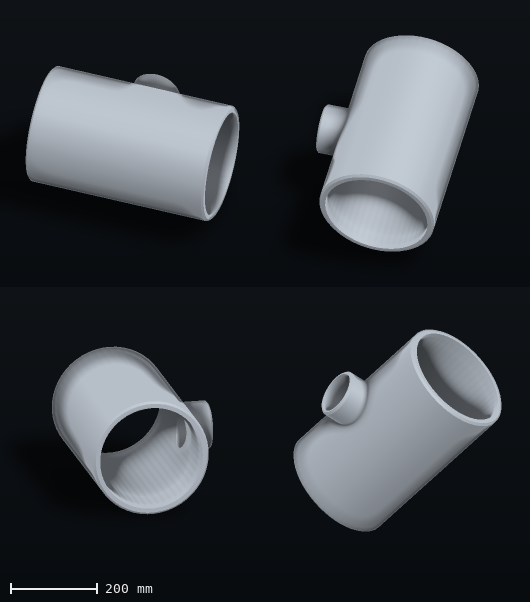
import cadquery as cq

run_length = 431.8
run_diameter = 273.05
run_wall = 15.09

branch_diameter = 114.3
branch_wall = 8.56
branch_reach = 184.15

end_chamfer = 5.0


def chamfered_bar(plane, length, diameter, chamfered_ends):
    """Solid bar along the plane normal, with its outer edge chamfered at the selected ends."""
    bar = cq.Workplane(plane).circle(diameter / 2).extrude(length)
    return bar.faces(chamfered_ends).chamfer(end_chamfer)


def bore(plane, length, diameter, wall):
    """Cylinder that fills the inside of a pipe."""
    return cq.Workplane(plane).circle(diameter / 2 - wall).extrude(length)


run_plane = cq.Plane(origin=(-run_length / 2, 0, 0), xDir=(0, 0, 1), normal=(1, 0, 0))
branch_plane = cq.Plane(origin=(0, 0, 0), xDir=(0, 0, 1), normal=(0, 1, 0))

run = chamfered_bar(run_plane, run_length, run_diameter, "<X or >X")
branch = chamfered_bar(branch_plane, branch_reach, branch_diameter, ">Y")

run_bore = bore(run_plane, run_length, run_diameter, run_wall)
branch_bore = bore(branch_plane, branch_reach, branch_diameter, branch_wall)

result = run.union(branch).cut(run_bore).cut(branch_bore)